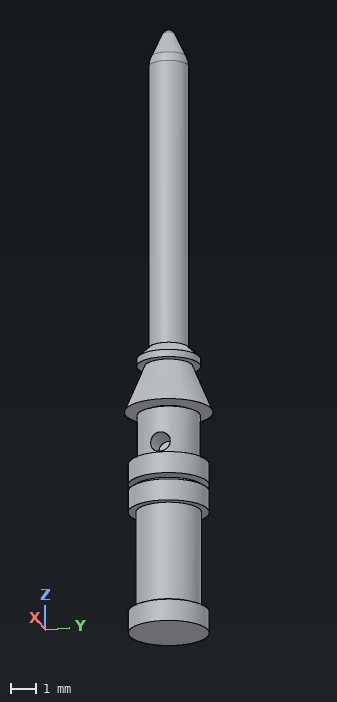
import cadquery as cq
import math

total_length = 25.0
base_collar_top = 0.88
base_shoulder_top = 1.0
lower_collar_bottom = 5.0
groove_height = 6.0
groove_half_width = 0.13
upper_collar_top = 7.0
sleeve_top = 9.0
stop_bottom = 11.05
stop_rim_top = 11.35
stop_top = 11.8

collar_radius = 3.2 / 2
barrel_radius = 2.6 / 2
groove_radius = 2.8 / 2
sleeve_radius = 2.5 / 2
neck_radius = 1.8 / 2
stop_radius = 2.53 / 2
pin_radius = 1.58 / 2

tip_half_angle = math.radians(25)
nose_radius = 0.28
shoulder_arc_radius = 0.9

inspection_hole_diameter = 0.8
inspection_hole_height = 7.55

cone_bottom = 9.15
cone_bottom_radius = 3.5 / 2
cone_top_radius = 1.9 / 2


def make_contact():
    """Turned contact: barrel, collars, neck, stop and pointed pin."""
    nose_edge_radius = nose_radius * math.cos(tip_half_angle)
    nose_edge_height = total_length - nose_radius * (1 - math.sin(tip_half_angle))
    nose_mid_angle = (math.pi / 2 + tip_half_angle) / 2
    nose_mid = (
        nose_radius * math.cos(nose_mid_angle),
        total_length - nose_radius * (1 - math.sin(nose_mid_angle)),
    )

    shoulder_center_radius = pin_radius - shoulder_arc_radius
    shoulder_edge_radius = shoulder_center_radius + shoulder_arc_radius * math.cos(tip_half_angle)
    tip_cone_length = (shoulder_edge_radius - nose_edge_radius) / math.tan(tip_half_angle)
    shoulder_edge_height = nose_edge_height - tip_cone_length
    shoulder_start = shoulder_edge_height - shoulder_arc_radius * math.sin(tip_half_angle)
    shoulder_mid = (
        shoulder_center_radius + shoulder_arc_radius * math.cos(tip_half_angle / 2),
        shoulder_start + shoulder_arc_radius * math.sin(tip_half_angle / 2),
    )

    profile = (
        cq.Workplane("XZ")
        .moveTo(0, 0)
        .lineTo(collar_radius, 0)
        .lineTo(collar_radius, base_collar_top)
        .lineTo(barrel_radius, base_shoulder_top)
        .lineTo(barrel_radius, lower_collar_bottom)
        .lineTo(collar_radius, lower_collar_bottom)
        .lineTo(collar_radius, groove_height - groove_half_width)
        .lineTo(groove_radius, groove_height)
        .lineTo(collar_radius, groove_height + groove_half_width)
        .lineTo(collar_radius, upper_collar_top)
        .lineTo(sleeve_radius, upper_collar_top)
        .lineTo(sleeve_radius, sleeve_top)
        .lineTo(neck_radius, sleeve_top)
        .lineTo(neck_radius, stop_bottom)
        .lineTo(stop_radius, stop_bottom)
        .lineTo(stop_radius, stop_rim_top)
        .lineTo(pin_radius, stop_top)
        .lineTo(pin_radius, shoulder_start)
        .threePointArc(shoulder_mid, (shoulder_edge_radius, shoulder_edge_height))
        .lineTo(nose_edge_radius, nose_edge_height)
        .threePointArc(nose_mid, (0, total_length))
        .close()
    )
    turned = profile.revolve(360, (0, 0, 0), (0, 1, 0))

    inspection_hole = (
        cq.Workplane("YZ")
        .center(0, inspection_hole_height)
        .circle(inspection_hole_diameter / 2)
        .extrude(collar_radius)
    )
    return turned.cut(inspection_hole)


def make_retaining_cone():
    """Conical ring that fits around the neck and rests against the stop."""
    return (
        cq.Workplane("XZ")
        .moveTo(neck_radius, cone_bottom)
        .lineTo(cone_bottom_radius, cone_bottom)
        .lineTo(cone_top_radius, stop_bottom)
        .lineTo(neck_radius, stop_bottom)
        .close()
        .revolve(360, (0, 0, 0), (0, 1, 0))
    )


contact = make_contact()
retaining_cone = make_retaining_cone()

result = cq.Compound.makeCompound([contact.val(), retaining_cone.val()])